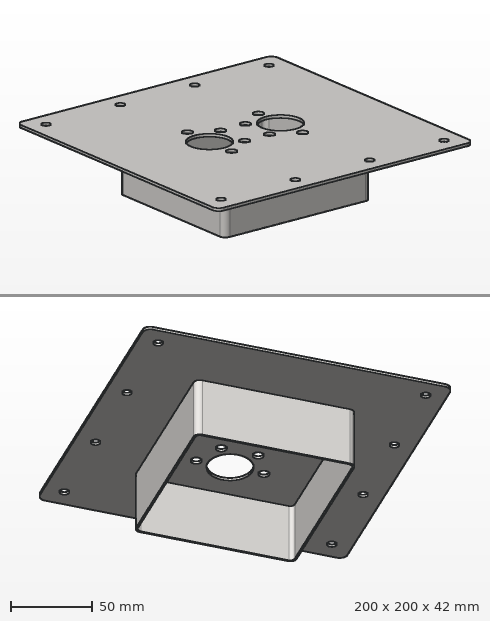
import cadquery as cq

plate_side = 200.0
plate_thickness = 2.0
plate_corner_radius = 5.0
overall_height = 42.0

skirt_height = overall_height - plate_thickness
skirt_wall = 1.2
skirt_inner_x = 102.0
skirt_inner_y = 112.0
skirt_inner_radius = 3.0
skirt_outer_x = skirt_inner_x + 2 * skirt_wall
skirt_outer_y = skirt_inner_y + 2 * skirt_wall
skirt_outer_radius = skirt_inner_radius + skirt_wall

fixing_hole_diameter = 6.0
fixing_edge_distance = 13.0
fixing_holes_per_side = 4
fixing_span = plate_side - 2 * fixing_edge_distance
fixing_pitch = fixing_span / (fixing_holes_per_side - 1)

opening_diameter = 29.0
opening_offset_y = 27.7
screw_hole_diameter = 7.0
outer_screw_offset_x = 22.0
inner_screw_offset_x = 12.0
inner_screw_offset_y = 9.7


def rounded_block(length_x, length_y, height, corner_radius):
    """Upright block on Z = 0, centred on the Z axis, with rounded vertical edges."""
    block = cq.Workplane("XY").box(length_x, length_y, height, centered=(True, True, False))
    return block.edges("|Z").fillet(corner_radius)


def make_plate():
    plate = rounded_block(plate_side, plate_side, plate_thickness, plate_corner_radius)
    return plate.translate((0, 0, skirt_height))


def make_skirt():
    outside = rounded_block(skirt_outer_x, skirt_outer_y, skirt_height, skirt_outer_radius)
    inside = rounded_block(skirt_inner_x, skirt_inner_y, skirt_height, skirt_inner_radius)
    return outside.cut(inside)


def hole_cutters(points, diameter):
    """Cylinders at the given XY points, passing through the full height of the part."""
    return cq.Workplane("XY").pushPoints(points).circle(diameter / 2).extrude(overall_height)


def mirrored_points(x, y):
    """The point (x, y) with its mirror images in both centre planes."""
    return [(sx * x, sy * y) for sx in (-1, 1) for sy in (-1, 1)]


fixing_points = [
    (side * fixing_span / 2, -fixing_span / 2 + index * fixing_pitch)
    for side in (-1, 1)
    for index in range(fixing_holes_per_side)
]
opening_points = [(0, -opening_offset_y), (0, opening_offset_y)]
outer_screw_points = mirrored_points(outer_screw_offset_x, opening_offset_y)
inner_screw_points = mirrored_points(inner_screw_offset_x, inner_screw_offset_y)

result = (
    make_plate()
    .union(make_skirt())
    .cut(hole_cutters(fixing_points, fixing_hole_diameter))
    .cut(hole_cutters(opening_points, opening_diameter))
    .cut(hole_cutters(outer_screw_points + inner_screw_points, screw_hole_diameter))
)